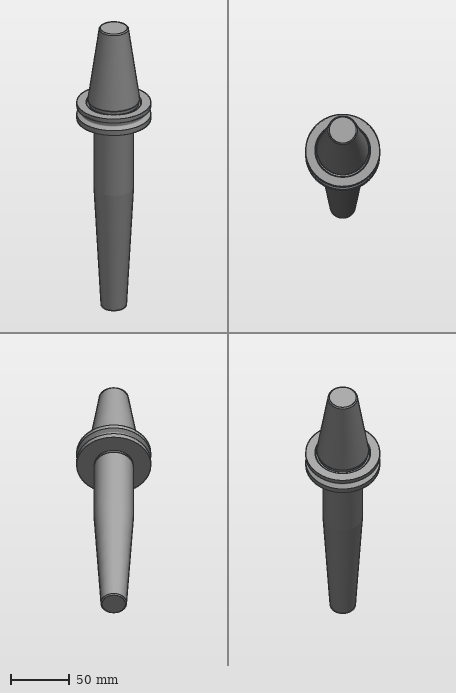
import cadquery as cq
import math

total_length = 268.5
gauge_z = 200.0
flange_top = 196.7
flange_bottom = 181.0
groove_center = 189.2
shank_top = 178.5
nose_taper_top = 114.5

taper_top_radius = 12.5
gauge_radius = 22.3
relief_radius = 21.5
recess_radius = 24.0
recess_floor_radius = 23.0
flange_radius = 63.5 / 2
groove_floor_radius = 28.2
shank_radius = 34.0 / 2
neck_radius = 33.5 / 2
nose_radius = 11.0

taper_chamfer = 1.0
nose_chamfer = 1.0
gauge_band_length = 0.8
relief_chamfer = gauge_radius - relief_radius
recess_depth = 1.0
groove_floor_width = 3.2
groove_side_angle = 30.0
groove_fillet = 0.8

groove_depth = flange_radius - groove_floor_radius
groove_floor_half = groove_floor_width / 2
groove_mouth_half = groove_floor_half + groove_depth * math.tan(math.radians(groove_side_angle))
gauge_band_bottom = gauge_z - gauge_band_length
recess_floor = flange_top - recess_depth

nose_and_shank = [
    (0, 0),
    (nose_radius - nose_chamfer, 0),
    (nose_radius, nose_chamfer),
    (shank_radius, nose_taper_top),
    (shank_radius, shank_top),
    (neck_radius, shank_top),
    (neck_radius, flange_bottom),
]
flange = [
    (flange_radius, flange_bottom),
    (flange_radius, groove_center - groove_mouth_half),
    (groove_floor_radius, groove_center - groove_floor_half),
    (groove_floor_radius, groove_center + groove_floor_half),
    (flange_radius, groove_center + groove_mouth_half),
    (flange_radius, flange_top),
]
recess = [
    (recess_radius, flange_top),
    (recess_floor_radius, recess_floor),
    (relief_radius, recess_floor),
]
taper = [
    (relief_radius, gauge_band_bottom - relief_chamfer),
    (gauge_radius, gauge_band_bottom),
    (gauge_radius, gauge_z),
    (taper_top_radius, total_length - taper_chamfer),
    (taper_top_radius - taper_chamfer, total_length),
    (0, total_length),
]

holder = (
    cq.Workplane("XZ")
    .polyline(nose_and_shank + flange + recess + taper)
    .close()
    .revolve(360, (0, 0, 0), (0, 1, 0))
)

corner_reach = flange_radius - groove_depth / 2
groove_corners = cq.selectors.BoxSelector(
    (-corner_reach, -corner_reach, groove_center - groove_floor_half - groove_fillet),
    (corner_reach, corner_reach, groove_center + groove_floor_half + groove_fillet),
    boundingbox=True,
)
result = holder.edges("%CIRCLE").edges(groove_corners).fillet(groove_fillet)